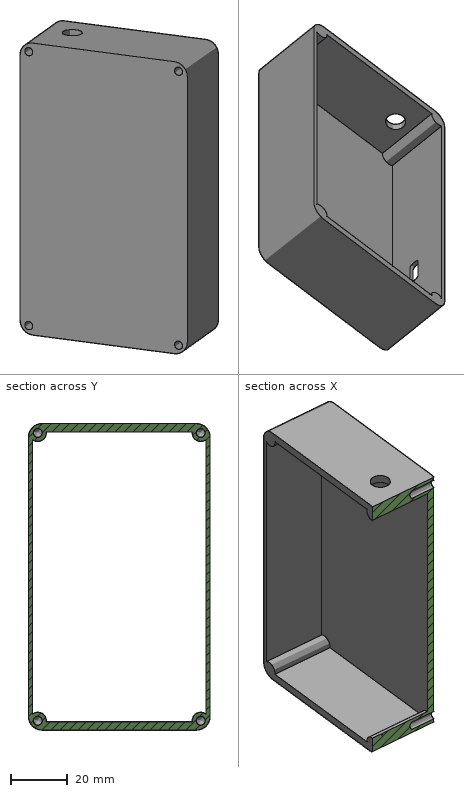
import cadquery as cq
import math

width = 64.0
depth = 28.0
height = 108.0
corner_radius = 5.0

side_wall = 1.5
end_wall = 3.0
front_thickness = 3.0
cavity_radius = corner_radius - end_wall

screw_diameter = 3.0
screw_inset = 3.3
screw_depth = 10.0
screw_tip_angle = 118
screw_tip_depth = screw_diameter / 2 / math.tan(math.radians(screw_tip_angle / 2))
post_diameter = 6.0

cable_diameter = 7.0
cable_from_left = 13.0
cable_from_front = 16.5

slot_width = 4.0
slot_height = 10.0
slot_radius = 1.3
slot_from_bottom = 33.0


def upright_block(size_x, size_z, radius, start_y, end_y):
    """Block with rounded corners in XZ, running from start_y to end_y."""
    return (
        cq.Workplane("XY")
        .box(size_x, end_y - start_y, size_z)
        .edges("|Y")
        .fillet(radius)
        .translate((0, (start_y + end_y) / 2, 0))
    )


def screw_hole(x, z):
    """Blind hole along +Y ending in a conical tip."""
    radius = screw_diameter / 2
    tip_y = screw_depth + screw_tip_depth
    return (
        cq.Workplane("XY")
        .polyline([(0, 0), (radius, 0), (radius, screw_depth), (0, tip_y)])
        .close()
        .revolve(360, (0, 0, 0), (0, 1, 0))
        .translate((x, front_y, z))
    )


front_y = -depth / 2
back_y = depth / 2

outer = upright_block(width, height, corner_radius, front_y, back_y)
cavity = upright_block(
    width - 2 * side_wall, height - 2 * end_wall, cavity_radius, front_y + front_thickness, back_y
)
result = outer.cut(cavity)

for side_x in (-1, 1):
    for side_z in (-1, 1):
        x = side_x * (width / 2 - screw_inset)
        z = side_z * (height / 2 - screw_inset)
        post = (
            cq.Workplane("XZ", origin=(x, front_y, z))
            .circle(post_diameter / 2)
            .extrude(-depth)
            .intersect(outer)
        )
        result = result.union(post).cut(screw_hole(x, z))

cable_opening = (
    cq.Workplane("XY", origin=(-width / 2 + cable_from_left, front_y + cable_from_front, height / 2))
    .circle(cable_diameter / 2)
    .extrude(-2 * end_wall)
)
result = result.cut(cable_opening)

slot = (
    cq.Workplane("XY")
    .box(2 * side_wall, slot_width, slot_height)
    .edges("|X")
    .fillet(slot_radius)
    .translate((-width / 2 + side_wall, 0, -height / 2 + slot_from_bottom))
)
result = result.cut(slot)